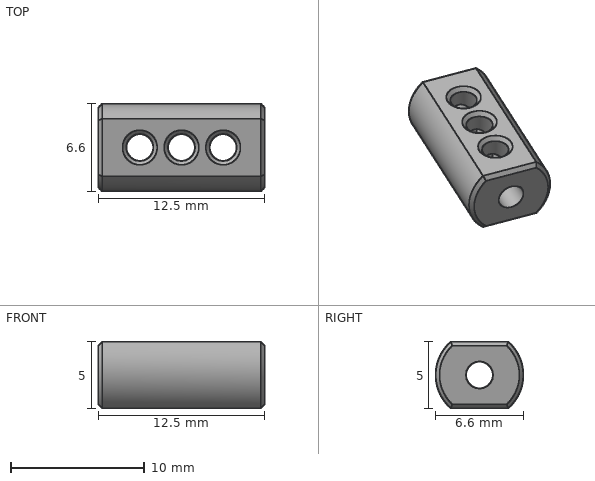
import cadquery as cq

length = 12.5
bar_diameter = 6.6
height = 5.0
end_chamfer = 0.3

hole_diameter = 2.0
hole_pitch = 3.12
cross_hole_count = 3
countersink_diameter = hole_diameter + 2 * end_chamfer
countersink_angle = 90.0


def flattened_bar():
    """Round bar along X with two parallel flats and chamfered ends."""
    bar = cq.Workplane("YZ").circle(bar_diameter / 2).extrude(length / 2, both=True)
    slab = cq.Workplane("XY").box(length, bar_diameter, height)
    return bar.intersect(slab).faces("<X or >X").chamfer(end_chamfer)


def axial_hole():
    """Plain bore through the full length."""
    return cq.Workplane("YZ").circle(hole_diameter / 2).extrude(length / 2, both=True)


def add_cross_holes(body, flat):
    """Row of countersunk through holes, entered from the given flat."""
    return (
        body.faces(flat)
        .workplane(origin=(0, 0, 0))
        .rarray(hole_pitch, 0.12, cross_hole_count, 1)
        .cskHole(hole_diameter, countersink_diameter, countersink_angle)
    )


result = flattened_bar().cut(axial_hole())
for flat in (">Z", "<Z"):
    result = add_cross_holes(result, flat)